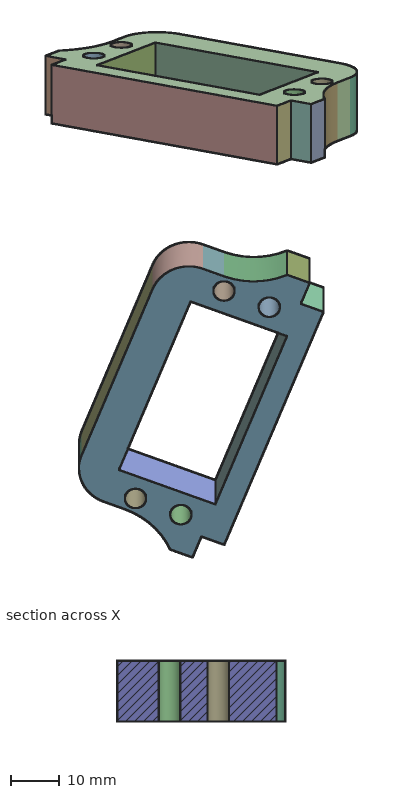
import cadquery as cq
import math

overall_width = 66.2
depth = 34.6
thickness = 12.5

ear_reach = 5.0
ear_bottom = 5.0
ear_top = 10.0
flare_start = 22.0
corner_radius = 8.0

window_width = 40.5
window_height = 21.25

hole_diameter = 4.4
hole_spacing_x = 49.95
hole_spacing_y = 10.0
lower_hole_y = 10.8

half_width = overall_width / 2
half_body = half_width - ear_reach

flare_drop = flare_start - ear_top
flare_radius = (ear_reach**2 + flare_drop**2) / (2 * ear_reach)
flare_mid_angle = math.asin(flare_drop / flare_radius) / 2
flare_mid_x = half_body + flare_radius * (1 - math.cos(flare_mid_angle))
flare_mid_y = flare_start - flare_radius * math.sin(flare_mid_angle)

corner_inset = corner_radius * (1 - math.sqrt(0.5))


def make_body():
    """Extrude the outline, counterclockwise from the lower left corner."""
    return (
        cq.Workplane("XY")
        .moveTo(-half_body, 0)
        .lineTo(half_body, 0)
        .lineTo(half_body, ear_bottom)
        .lineTo(half_width, ear_bottom)
        .lineTo(half_width, ear_top)
        .threePointArc((flare_mid_x, flare_mid_y), (half_body, flare_start))
        .lineTo(half_body, depth - corner_radius)
        .threePointArc(
            (half_body - corner_inset, depth - corner_inset),
            (half_body - corner_radius, depth),
        )
        .lineTo(-half_body + corner_radius, depth)
        .threePointArc(
            (-half_body + corner_inset, depth - corner_inset),
            (-half_body, depth - corner_radius),
        )
        .lineTo(-half_body, flare_start)
        .threePointArc((-flare_mid_x, flare_mid_y), (-half_width, ear_top))
        .lineTo(-half_width, ear_bottom)
        .lineTo(-half_body, ear_bottom)
        .close()
        .extrude(thickness)
    )


def make_window():
    """Rectangular through opening."""
    return (
        cq.Workplane("XY")
        .center(0, ear_bottom + window_height / 2)
        .rect(window_width, window_height)
        .extrude(thickness)
    )


def make_holes():
    """Two by two pattern of through holes."""
    return (
        cq.Workplane("XY")
        .center(0, lower_hole_y + hole_spacing_y / 2)
        .rarray(hole_spacing_x, hole_spacing_y, 2, 2)
        .circle(hole_diameter / 2)
        .extrude(thickness)
    )


result = make_body().cut(make_window()).cut(make_holes())